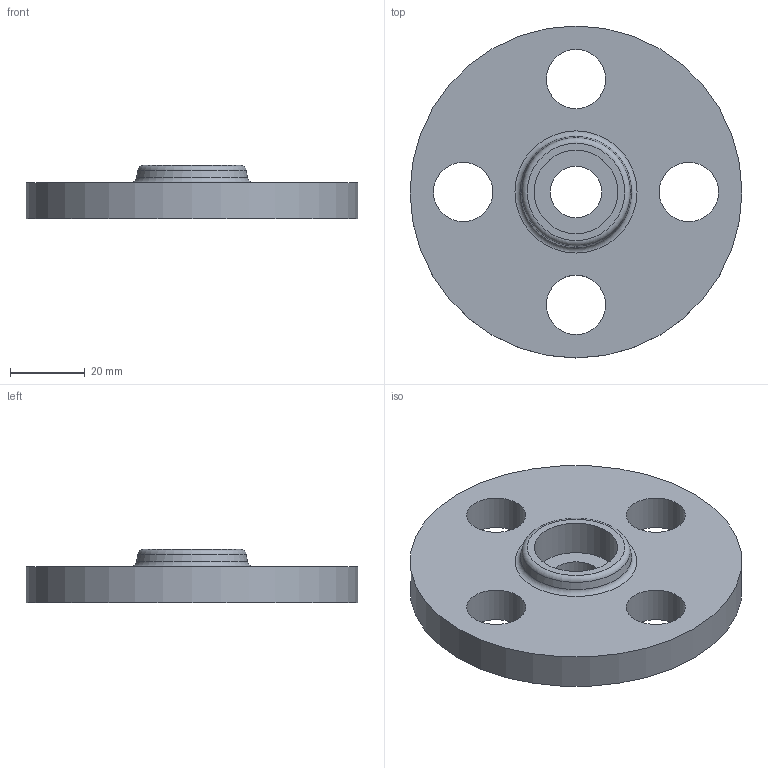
import cadquery as cq

flange_diameter = 88.9
flange_thickness = 9.65
total_height = 14.22

hub_base_diameter = 30.2
hub_draft_angle = 10.0
hub_fillet_radius = 1.5

bore_diameter = 13.84
socket_diameter = 22.35
socket_depth = 9.65

bolt_hole_count = 4
bolt_hole_diameter = 15.88
bolt_circle_diameter = 60.45

hub_height = total_height - flange_thickness


def make_plate():
    """Round plate resting on Z = 0."""
    return cq.Workplane("XY").circle(flange_diameter / 2).extrude(flange_thickness)


def add_hub(body):
    """Drafted hub with a rounded rim, blended into the plate at its foot."""
    hub = (
        cq.Workplane("XY", origin=(0, 0, flange_thickness))
        .circle(hub_base_diameter / 2)
        .extrude(hub_height, taper=hub_draft_angle)
    )
    hub = hub.faces(">Z").edges().fillet(hub_fillet_radius)
    body = body.union(hub)
    foot_edge = cq.selectors.RadiusNthSelector(0)
    return body.faces("|Z").faces(">Z[-2]").edges(foot_edge).fillet(hub_fillet_radius)


def cut_bore_and_socket(body):
    """Through bore, opened out to the pipe socket from the top."""
    return body.faces(">Z").workplane(origin=(0, 0, total_height)).cboreHole(
        bore_diameter, socket_diameter, socket_depth
    )


def cut_bolt_holes(body):
    """Equally spaced through holes on the bolt circle."""
    holes = (
        cq.Workplane("XY")
        .polarArray(bolt_circle_diameter / 2, 0, 360, bolt_hole_count)
        .circle(bolt_hole_diameter / 2)
        .extrude(flange_thickness)
    )
    return body.cut(holes)


result = make_plate()
result = add_hub(result)
result = cut_bore_and_socket(result)
result = cut_bolt_holes(result)